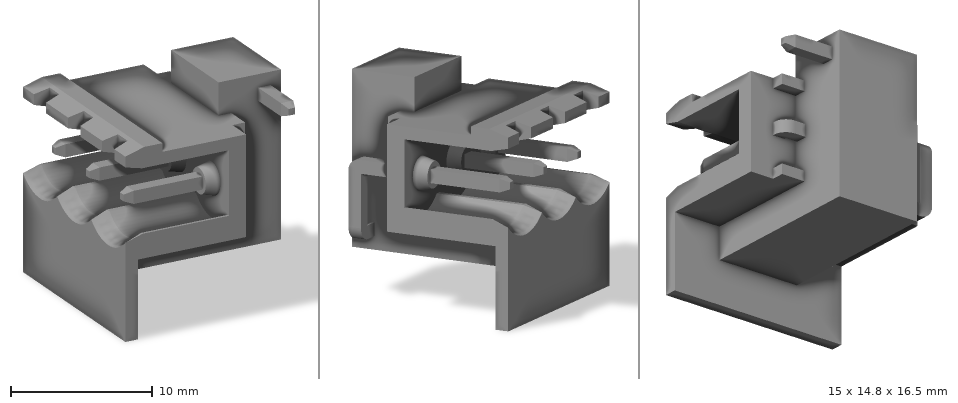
import cadquery as cq
import math


pitch = 5.0
pin_positions = (-pitch, 0, pitch)
pin_side = 1.0
pin_z = 10.0
pin_front_y = 1.09
tip_length = 0.7
tip_inset = 0.25

housing_width = 3 * pitch
housing_depth = 9.77
housing_bottom_z = 6.1
housing_top_z = 13.96
cavity_depth = 8.38
cavity_top_z = 13.02
ridge_z = 8.0
skirt_thickness = 1.02

lip_depth = 3.0
lip_top_z = 14.62
lip_slope_depth = 1.52
nose_top_z = 14.17
nose_bottom_z = 13.35
nose_slope_depth = 1.35

notch_depth = 1.17
notch_back_width = 1.39
notch_front_width = 1.78

scallop_radius = 3.04
scallop_mouth_radius = 3.48
mouth_depth = 1.39

collar_base_radius = 1.25
collar_end_radius = 0.99
collar_length = 1.04

block_width = 6.96
block_back_y = 14.8
block_bottom_z = 3.5
block_top_z = 16.5

standoff_length = 1.02
standoff_height = 0.82

tail_back_y = 13.98
tail_bottom_z = 4.5
tail_bend_radius = 0.82
side_run_back_y = 10.95
upper_run_z = 14.97


def box_between(x_range, y_range, z_range):
    size = [high - low for low, high in (x_range, y_range, z_range)]
    corner = (x_range[0], y_range[0], z_range[0])
    return cq.Workplane("XY").box(*size, centered=False).translate(corner)


def extrude_across(points, width):
    """Extrude a (Y, Z) outline along X, centred on X = 0."""
    return cq.Workplane("YZ").polyline(points).close().extrude(width / 2, both=True)


def cone_along_y(x, start_y, start_radius, length, end_radius):
    """Round frustum on a pin axis, running toward +Y."""
    cone = cq.Solid.makeCone(
        start_radius, end_radius, length, cq.Vector(x, start_y, pin_z), cq.Vector(0, 1, 0)
    )
    return cq.Workplane(obj=cone)


def tapered_bar(length):
    """Square bar along +Z, centred on its axis, whose far end is a blunt point."""
    shank_length = length - tip_length
    shank = cq.Workplane("XY").rect(pin_side, pin_side).extrude(shank_length)
    tip_side = pin_side - 2 * tip_inset
    tip = (
        cq.Workplane("XY", origin=(0, 0, shank_length))
        .rect(pin_side, pin_side)
        .workplane(offset=tip_length)
        .rect(tip_side, tip_side)
        .loft(ruled=True)
    )
    return shank.union(tip)


def housing():
    ridge_front_z = pin_z - math.sqrt(scallop_mouth_radius**2 - (pitch / 2) ** 2)
    outline = [
        (0, 0),
        (0, ridge_front_z),
        (mouth_depth, ridge_z),
        (cavity_depth, ridge_z),
        (cavity_depth, cavity_top_z),
        (nose_slope_depth, cavity_top_z),
        (0, nose_bottom_z),
        (0, nose_top_z),
        (lip_slope_depth, lip_top_z),
        (lip_depth, lip_top_z),
        (lip_depth, housing_top_z),
        (housing_depth, housing_top_z),
        (housing_depth, housing_bottom_z),
        (skirt_thickness, housing_bottom_z),
        (skirt_thickness, 0),
    ]
    body = extrude_across(outline, housing_width)
    for x in pin_positions:
        body = body.cut(scallop(x)).cut(lip_notch(x))
    return body


def scallop(x):
    """Round trough with a flared mouth, kept below the pin axis."""
    trough = cq.Workplane("XZ", origin=(x, 0, pin_z)).circle(scallop_radius).extrude(-cavity_depth)
    mouth = cone_along_y(x, 0, scallop_mouth_radius, mouth_depth, scallop_radius)
    half_width = scallop_mouth_radius
    lower_half = box_between(
        (x - half_width, x + half_width), (0, cavity_depth), (pin_z - scallop_mouth_radius, pin_z)
    )
    return trough.union(mouth).intersect(lower_half)


def lip_notch(x):
    points = [
        (x - notch_front_width / 2, 0),
        (x + notch_front_width / 2, 0),
        (x + notch_back_width / 2, notch_depth),
        (x - notch_back_width / 2, notch_depth),
    ]
    notch = cq.Workplane("XY", origin=(0, 0, cavity_top_z)).polyline(points).close()
    return notch.extrude(lip_top_z - cavity_top_z)


def standoff(bottom_z):
    half_width = pitch + pin_side / 2
    return box_between(
        (-half_width, half_width),
        (cavity_depth, housing_depth + standoff_length),
        (bottom_z, bottom_z + standoff_height),
    )


def rear_block():
    """Block behind the housing with a foot reaching forward to the skirt."""
    outline = [
        (skirt_thickness, block_bottom_z),
        (block_back_y, block_bottom_z),
        (block_back_y, block_top_z),
        (housing_depth, block_top_z),
        (housing_depth, housing_bottom_z),
        (skirt_thickness, housing_bottom_z),
    ]
    return extrude_across(outline, block_width)


def contact(x):
    """Collar and straight pin from the rear of the housing to the tip."""
    pin = tapered_bar(housing_depth - pin_front_y)
    pin = pin.rotate((0, 0, 0), (1, 0, 0), 90).translate((x, housing_depth, pin_z))
    collar_y = cavity_depth - collar_length
    return pin.union(cone_along_y(x, collar_y, collar_end_radius, collar_length, collar_base_radius))


def left_tail():
    """Left pin run: back, down, then sideways into the rear block."""
    x_range = (-pitch - pin_side / 2, -pitch + pin_side / 2)
    y_range = (tail_back_y - pin_side, tail_back_y)
    pin_bottom_z = pin_z - pin_side / 2
    pin_top_z = pin_z + pin_side / 2

    back_run = box_between(x_range, (cavity_depth, tail_back_y), (pin_bottom_z, pin_top_z))
    back_run = back_run.edges("|X and >Y and >Z").fillet(tail_bend_radius)
    drop = box_between(x_range, y_range, (tail_bottom_z, pin_bottom_z))
    drop = drop.union(
        box_between((x_range[0], 0), y_range, (tail_bottom_z, tail_bottom_z + pin_side))
    )
    drop = drop.cut(bend_corner().translate((x_range[0], tail_back_y, tail_bottom_z)))
    return back_run.union(drop)


def bend_corner():
    """Waste outside a quarter-round bend, with its sharp corner at the origin."""
    diagonal = pin_side * (1 - math.sqrt(0.5))
    return (
        cq.Workplane("XZ")
        .moveTo(0, 0)
        .lineTo(pin_side, 0)
        .threePointArc((diagonal, diagonal), (0, pin_side))
        .close()
        .extrude(pin_side)
    )


def right_tail():
    """Right pin run: back, then sideways into the rear block."""
    outer_x = pitch + pin_side / 2
    front_y = side_run_back_y - pin_side
    z_range = (pin_z - pin_side / 2, pin_z + pin_side / 2)
    back_run = box_between((outer_x - pin_side, outer_x), (cavity_depth, front_y), z_range)
    side_run = box_between((0, outer_x - pin_side), (front_y, side_run_back_y), z_range)
    bend = (
        cq.Workplane("XY", origin=(outer_x - pin_side, front_y, z_range[0]))
        .lineTo(pin_side, 0)
        .radiusArc((0, pin_side), -pin_side)
        .close()
        .extrude(pin_side)
    )
    return back_run.union(bend).union(side_run)


def upper_run():
    """Pointed bar leaving the rear block toward +X."""
    bar = tapered_bar(housing_width / 2).rotate((0, 0, 0), (0, 1, 0), 90)
    return bar.translate((0, tail_back_y - pin_side / 2, upper_run_z))


result = housing().union(rear_block())
for standoff_z in (housing_bottom_z, housing_top_z - standoff_height):
    result = result.union(standoff(standoff_z))
for pin_x in pin_positions:
    result = result.union(contact(pin_x))
result = result.union(left_tail()).union(right_tail()).union(upper_run())